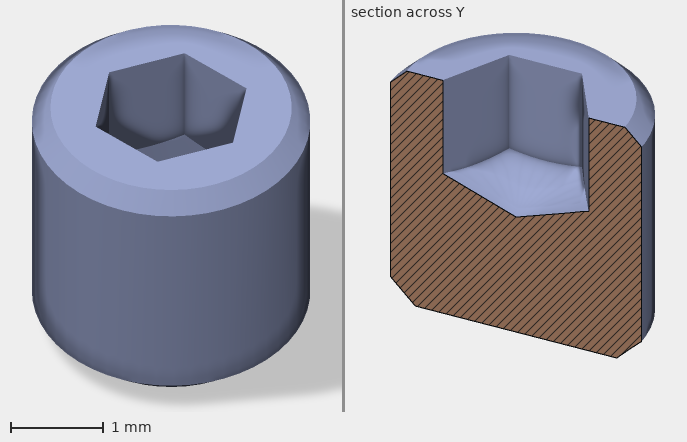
import cadquery as cq
import math

diameter = 3
length = 3
top_chamfer = 0.2
bottom_chamfer = 0.3

socket_across_flats = 1.5
socket_depth = 1.2
cone_point_angle = 140

socket_across_corners = socket_across_flats / math.cos(math.radians(30))
corner_radius = socket_across_corners / 2
cone_height = corner_radius / math.tan(math.radians(cone_point_angle / 2))


def make_body():
    """Cylinder with a chamfer at each end."""
    cylinder = cq.Workplane("XY").circle(diameter / 2).extrude(length)
    return cylinder.faces(">Z").chamfer(top_chamfer).faces("<Z").chamfer(bottom_chamfer)


def make_socket():
    """Hexagonal prism whose lower end is trimmed to a downward-pointing cone."""
    cone_rim_z = length - socket_depth
    tip_z = cone_rim_z - cone_height
    hexagon = (
        cq.Workplane("XY", origin=(0, 0, tip_z))
        .polygon(6, socket_across_corners)
        .extrude(length - tip_z)
    )
    drill = (
        cq.Workplane("XZ")
        .moveTo(0, tip_z)
        .lineTo(corner_radius, cone_rim_z)
        .lineTo(corner_radius, length)
        .lineTo(0, length)
        .close()
        .revolve(360, (0, 0, 0), (0, 1, 0))
    )
    return hexagon.intersect(drill)


result = make_body().cut(make_socket())